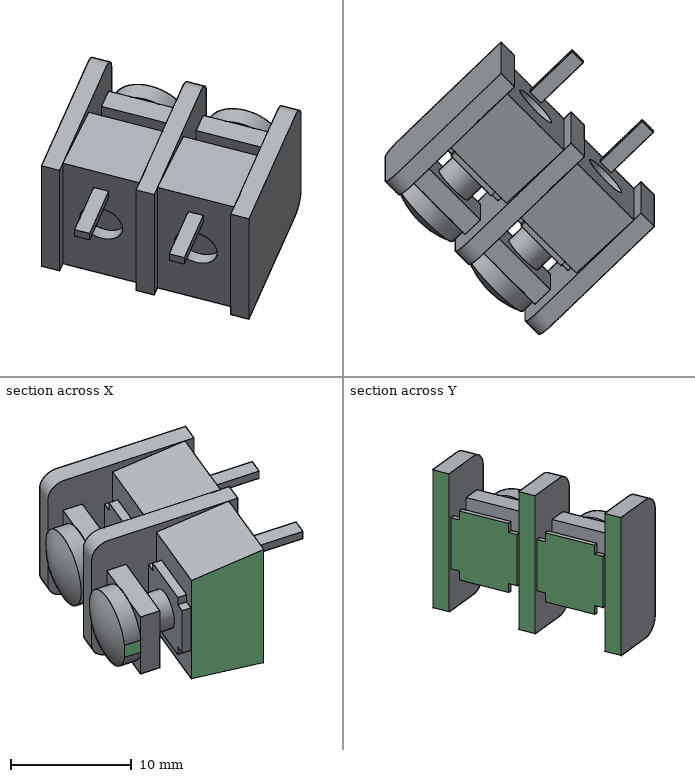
import cadquery as cq
import math


poles = 2
pitch = 8.29
wall_thickness = 1.6
height = 12.7
wall_front_y = -5.21
wall_back_y = 8.27
wall_corner_radius = 1.58
sheet = 0.82

housing_front_y = -4.38
housing_back_y = 2.3
housing_taper = 0.83
access_hole_diameter = 3.75
access_hole_depth = 1.0

terminal_size = 6.38
pin_width = 1.32
pin_top_z = 4.28
pin_tip_y = -9.27
shank_diameter = 3.45
clamp_front_y = 5.17
head_front_y = 6.95
head_rim_y = 8.47
head_top_y = 9.27

bay_width = pitch - wall_thickness
head_diameter = bay_width
terminal_back_y = housing_back_y + sheet
wall_span = poles * pitch
wall_centers = [i * pitch - wall_span / 2 for i in range(poles + 1)]
pole_centers = [(i + 0.5) * pitch - wall_span / 2 for i in range(poles)]


def box_between(center_x, width, y_front, y_back, z_low, z_high):
    """Box centred on center_x, with given limits along Y and Z."""
    return (
        cq.Workplane("XY")
        .box(width, y_back - y_front, z_high - z_low, centered=(True, False, False))
        .translate((center_x, y_front, z_low))
    )


def cylinder_along_y(center_x, diameter, y_front, y_back):
    """Cylinder on the screw axis of a pole."""
    return (
        cq.Workplane("XZ", origin=(center_x, y_front, 0))
        .circle(diameter / 2)
        .extrude(-(y_back - y_front))
    )


def wall(center_x):
    """Barrier wall with its two back corners rounded."""
    plate = box_between(center_x, wall_thickness, wall_front_y, wall_back_y, -height / 2, height / 2)
    return plate.edges("|X and >Y").fillet(wall_corner_radius)


def housing(center_x):
    """Block that fills a bay, tapering towards the back, with a blind access hole in front."""
    half_front = height / 2
    half_back = half_front - housing_taper
    block = (
        cq.Workplane("YZ", origin=(center_x - bay_width / 2, 0, 0))
        .polyline([
            (housing_front_y, -half_front),
            (housing_back_y, -half_back),
            (housing_back_y, half_back),
            (housing_front_y, half_front),
        ])
        .close()
        .extrude(bay_width)
    )
    hole_floor_y = housing_front_y + access_hole_depth
    return block.cut(cylinder_along_y(center_x, access_hole_diameter, housing_front_y, hole_floor_y))


def terminal(center_x):
    """Square plate with notched corners behind the housing."""
    full = terminal_size / 2
    inner = full - sheet
    upright = box_between(center_x, 2 * inner, housing_back_y, terminal_back_y, -full, full)
    crossbar = box_between(center_x, 2 * full, housing_back_y, terminal_back_y, -inner, inner)
    return upright.union(crossbar)


def pin(center_x):
    """Flat solder pin standing out of the front of the housing."""
    return box_between(center_x, pin_width, pin_tip_y, housing_front_y, pin_top_z - sheet, pin_top_z)


def screw(center_x):
    """Shank and domed head, revolved about the screw axis."""
    head_radius = head_diameter / 2
    shank_radius = shank_diameter / 2
    dome_height = head_top_y - head_rim_y
    dome_radius = (head_radius**2 + dome_height**2) / (2 * dome_height)
    mid_radius = head_radius / 2
    mid_y = head_top_y - dome_radius + math.sqrt(dome_radius**2 - mid_radius**2)
    return (
        cq.Workplane("YZ", origin=(center_x, 0, 0))
        .moveTo(terminal_back_y, 0)
        .lineTo(terminal_back_y, shank_radius)
        .lineTo(head_front_y, shank_radius)
        .lineTo(head_front_y, head_radius)
        .lineTo(head_rim_y, head_radius)
        .threePointArc((mid_y, mid_radius), (head_top_y, 0))
        .close()
        .revolve(360, (0, 0), (1, 0))
    )


def clamp(center_x):
    """Square wire clamp under the screw head."""
    half = terminal_size / 2
    return box_between(center_x, terminal_size, clamp_front_y, head_front_y, -half, half)


result = wall(wall_centers[0])
for x in wall_centers[1:]:
    result = result.union(wall(x))
for x in pole_centers:
    for feature in (housing, terminal, pin, screw, clamp):
        result = result.union(feature(x))